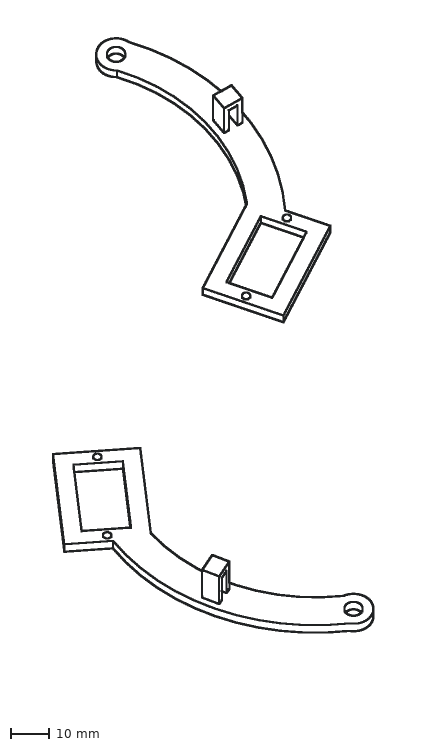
import cadquery as cq
import math

plate_thickness = 3.0
pivot_radius = 5.3
pivot_hole_diameter = 4.8

arc_center_x = 40.0
arc_center_y = -41.6
arm_width = 9.8
arm_end_angle = 65.0
arm_mid_radius = math.hypot(arc_center_x, arc_center_y)
arm_start_angle = math.degrees(math.atan2(-arc_center_y, -arc_center_x))

frame_center = (76.8, 4.0)
frame_length = 31.7
frame_width = 23.0
frame_angle = -50.8
window_length = 23.2
window_width = 13.0
screw_spacing = 27.6
screw_hole_diameter = 2.2

post_angle = 96.9
post_length = 5.1
post_width = 5.9
post_top = 14.0
slot_width = 2.7
bridge_thickness = 2.1


def arc_point(radius, angle):
    """Point at a polar position about the arc centre."""
    turn = math.radians(angle)
    return (arc_center_x + radius * math.cos(turn), arc_center_y + radius * math.sin(turn))


def make_arm():
    outer = arm_mid_radius + arm_width / 2
    inner = arm_mid_radius - arm_width / 2
    middle_angle = (arm_start_angle + arm_end_angle) / 2
    return (
        cq.Workplane("XY")
        .moveTo(*arc_point(outer, arm_start_angle))
        .threePointArc(arc_point(outer, middle_angle), arc_point(outer, arm_end_angle))
        .lineTo(*arc_point(inner, arm_end_angle))
        .threePointArc(arc_point(inner, middle_angle), arc_point(inner, arm_start_angle))
        .close()
        .extrude(plate_thickness)
    )


def place_on_frame(body):
    """Move a body from the frame's own axes to its place on the plate."""
    return body.rotate((0, 0, 0), (0, 0, 1), frame_angle).translate((*frame_center, 0))


def make_frame():
    return place_on_frame(cq.Workplane("XY").rect(frame_length, frame_width).extrude(plate_thickness))


def make_frame_openings():
    window = cq.Workplane("XY").rect(window_length, window_width).extrude(plate_thickness)
    screw_holes = (
        cq.Workplane("XY")
        .pushPoints([(-screw_spacing / 2, 0), (screw_spacing / 2, 0)])
        .circle(screw_hole_diameter / 2)
        .extrude(plate_thickness)
    )
    return place_on_frame(window.union(screw_holes))


def make_post():
    """Upside-down U whose slot follows the arm and reaches down to the plate."""
    slot_height = post_top - bridge_thickness - plate_thickness
    block = cq.Workplane("XY").rect(post_length, post_width).extrude(post_top)
    slot = (
        cq.Workplane("XY")
        .workplane(offset=plate_thickness)
        .rect(post_length, slot_width)
        .extrude(slot_height)
    )
    tangent_angle = post_angle - 90
    post_center = arc_point(arm_mid_radius, post_angle)
    return block.cut(slot).rotate((0, 0, 0), (0, 0, 1), tangent_angle).translate((*post_center, 0))


pivot = cq.Workplane("XY").circle(pivot_radius).extrude(plate_thickness)
pivot_hole = cq.Workplane("XY").circle(pivot_hole_diameter / 2).extrude(plate_thickness)

plate = make_arm().union(pivot).union(make_frame())
plate = plate.cut(pivot_hole).cut(make_frame_openings())
result = plate.union(make_post())